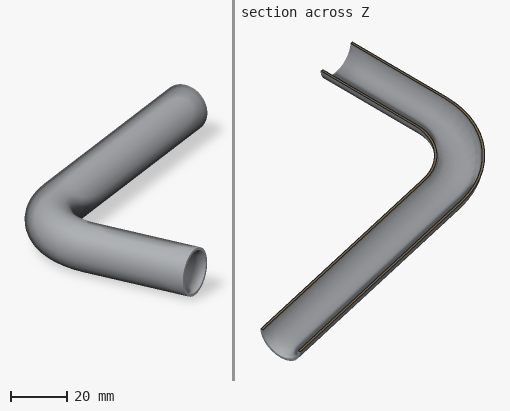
import math

import cadquery as cq

length_x = 79.0
length_y = 129.0
outer_diameter = 18.0
bore_diameter = 16.0

bend_radius = 1.5 * outer_diameter
bend_outer_radius = bend_radius + outer_diameter / 2
short_leg = length_x - bend_outer_radius
long_leg = length_y - bend_outer_radius

bend_middle = -bend_radius * math.sqrt(0.5)
centreline = (
    cq.Workplane("XY")
    .moveTo(-bend_radius, long_leg)
    .lineTo(-bend_radius, 0)
    .threePointArc((bend_middle, bend_middle), (0, -bend_radius))
    .lineTo(short_leg, -bend_radius)
)

tube_section = (
    cq.Workplane("XZ", origin=(-bend_radius, long_leg, 0))
    .circle(outer_diameter / 2)
    .circle(bore_diameter / 2)
)

result = tube_section.sweep(centreline)